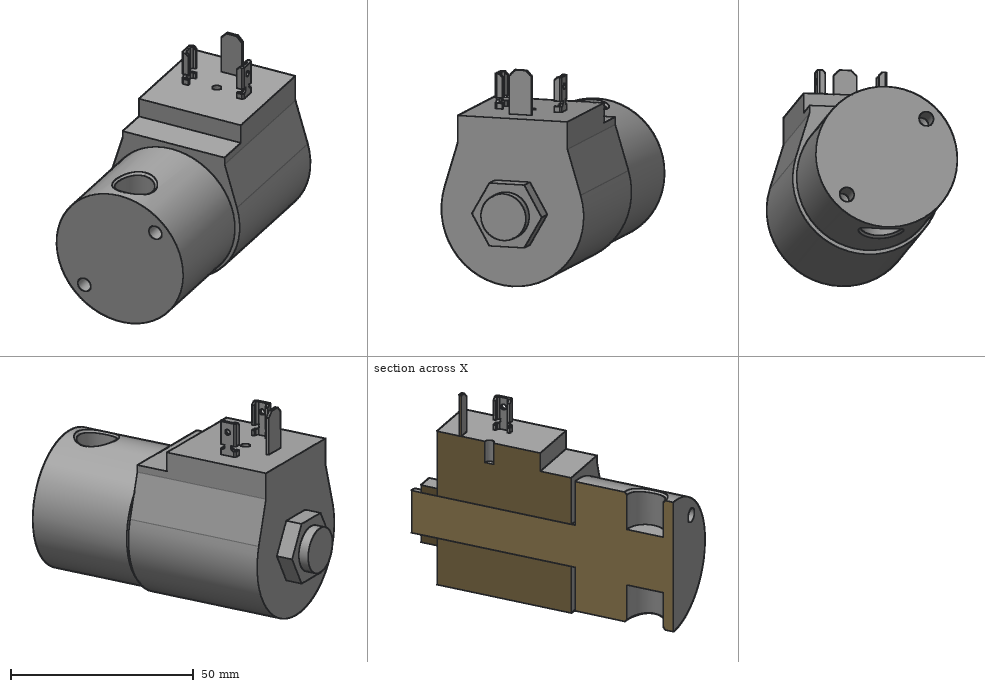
import cadquery as cq
import math


valve_radius = 19.7
valve_length = 30.0
tube_radius = 6.5
tube_end = 80.0

port_y = 8.65
port_radius = 5.5
port_chamfer = 0.7
port_depth = 11.2

mount_hole_offset = 11.05
mount_hole_diameter = 4.0
mount_hole_depth = 8.0
drill_point_angle = 118.0

coil_radius = 20.6
coil_front = 31.1
coil_back = 72.2
shoulder_z = coil_radius
head_step_y = 40.6
head_half_width = 15.85
head_bottom = 18.6
head_top = 26.1
head_hole_diameter = 2.6
head_hole_depth = 6.4

nut_corner_radius = 10.1
nut_end = 77.05

blade_y = 65.05
blade_width = 6.4
blade_top = 38.4
blade_chamfer = 1.6

sheet = 0.8
channel_y = 56.2
channel_outer_x = 9.6
channel_depth = 2.1
channel_width = 5.05
channel_top = 35.8
bend_chamfer = 0.5
groove_chamfer = 0.6
flange_chamfer = 0.8
channel_hole_diameter = 1.6
channel_hole_z = 33.0
notch_top = 29.1
notch_bottom = 27.6
waist_bottom = 28.3
waist_half_width = 1.05
notch_foot_half_width = 1.8


def y_cylinder(radius, start, end, x=0.0, z=0.0):
    """Cylinder along +Y between two Y stations."""
    return cq.Workplane(cq.Solid.makeCylinder(radius, end - start, cq.Vector(x, start, z), cq.Vector(0, 1, 0)))


def cut_port(valve, side):
    """Blind port from the top (side = 1) or the bottom (side = -1), with a chamfer around its mouth."""
    floor_z = valve_radius - port_depth
    bore = cq.Solid.makeCylinder(
        port_radius, port_depth, cq.Vector(0, port_y, side * floor_z), cq.Vector(0, 0, side)
    )
    mouth = cq.selectors.NearestToPointSelector((0, port_y, side * valve_radius))
    return valve.cut(cq.Workplane(bore)).edges(mouth).chamfer(port_chamfer)


def mount_hole_cutter(offset):
    """Drilled hole with a conical bottom in the valve's end face."""
    radius = mount_hole_diameter / 2
    point_length = radius / math.tan(math.radians(drill_point_angle / 2))
    point = cq.Solid.makeCone(
        radius, 0, point_length, cq.Vector(offset, mount_hole_depth, offset), cq.Vector(0, 1, 0)
    )
    return y_cylinder(radius, 0, mount_hole_depth, offset, offset).union(cq.Workplane(point))


def make_valve():
    valve = y_cylinder(valve_radius, 0, valve_length)
    valve = valve.union(y_cylinder(tube_radius, valve_length, tube_end))
    for side in (1, -1):
        valve = cut_port(valve, side)
    for offset in (mount_hole_offset, -mount_hole_offset):
        valve = valve.cut(mount_hole_cutter(offset))
    return valve


def make_coil():
    corner_distance = math.hypot(head_half_width, head_bottom)
    corner_angle = math.atan2(head_bottom, head_half_width)
    tangent_angle = corner_angle - math.acos(coil_radius / corner_distance)
    tangent_x = coil_radius * math.cos(tangent_angle)
    tangent_z = coil_radius * math.sin(tangent_angle)

    coil = (
        cq.Workplane("XZ", origin=(0, coil_back, 0))
        .moveTo(-head_half_width, head_top)
        .lineTo(-head_half_width, head_bottom)
        .lineTo(-tangent_x, tangent_z)
        .threePointArc((0, -coil_radius), (tangent_x, tangent_z))
        .lineTo(head_half_width, head_bottom)
        .lineTo(head_half_width, head_top)
        .close()
        .extrude(coil_back - coil_front)
    )
    step = cq.Workplane().box(
        2 * head_half_width, head_step_y - coil_front, head_top - shoulder_z, centered=(True, False, False)
    )
    coil = coil.cut(step.translate((0, coil_front, shoulder_z)))
    head_hole = (
        cq.Workplane("XY", origin=(0, channel_y, head_top))
        .circle(head_hole_diameter / 2)
        .extrude(-head_hole_depth)
    )
    return coil.cut(head_hole).cut(y_cylinder(tube_radius, coil_front, coil_back))


def make_nut():
    return (
        cq.Workplane("XZ", origin=(0, nut_end, 0))
        .polygon(6, 2 * nut_corner_radius)
        .circle(tube_radius)
        .extrude(nut_end - coil_back)
    )


def make_blade():
    blade = cq.Workplane("XY", origin=(0, blade_y, head_top)).rect(blade_width, sheet)
    blade = blade.extrude(blade_top - head_top)
    return blade.edges("|Y and >Z").chamfer(blade_chamfer)


def notch_cutter():
    """Notches on both edges of a channel, leaving a waist that spreads towards the foot."""
    cutter = cq.Workplane("YZ", origin=(-channel_outer_x, channel_y, 0))
    for edge in (1, -1):
        outline = [
            (edge * channel_width, notch_top),
            (edge * waist_half_width, notch_top),
            (edge * waist_half_width, waist_bottom),
            (edge * notch_foot_half_width, notch_bottom),
            (edge * channel_width, notch_bottom),
        ]
        cutter = cutter.polyline(outline).close()
    return cutter.extrude(channel_depth)


def make_channel(side):
    """Channel terminal open towards the middle, on the +X (side = 1) or -X (side = -1) side."""
    height = channel_top - head_top
    base = cq.Workplane("XY", origin=(-channel_outer_x, channel_y, head_top))
    channel = base.rect(channel_depth, channel_width).extrude(height).translate((channel_depth / 2, 0, 0))
    channel = channel.edges("|Z and <X").chamfer(bend_chamfer)
    channel = channel.edges("|Y and >X and >Z").chamfer(flange_chamfer)

    groove = base.rect(channel_depth, channel_width - 2 * sheet).extrude(height)
    groove = groove.translate((channel_depth / 2 + sheet, 0, 0)).edges("|Z and <X").chamfer(groove_chamfer)
    hole = (
        cq.Workplane("YZ", origin=(-channel_outer_x, channel_y, channel_hole_z))
        .circle(channel_hole_diameter / 2)
        .extrude(channel_depth)
    )
    channel = channel.cut(groove).cut(notch_cutter()).cut(hole)
    return channel if side < 0 else channel.mirror("YZ")


valve = make_valve()
coil = make_coil()
nut = make_nut()
blade = make_blade()
channels = [make_channel(side) for side in (-1, 1)]

result = cq.Compound.makeCompound(
    [valve.val(), coil.val(), nut.val(), blade.val(), *[channel.val() for channel in channels]]
)